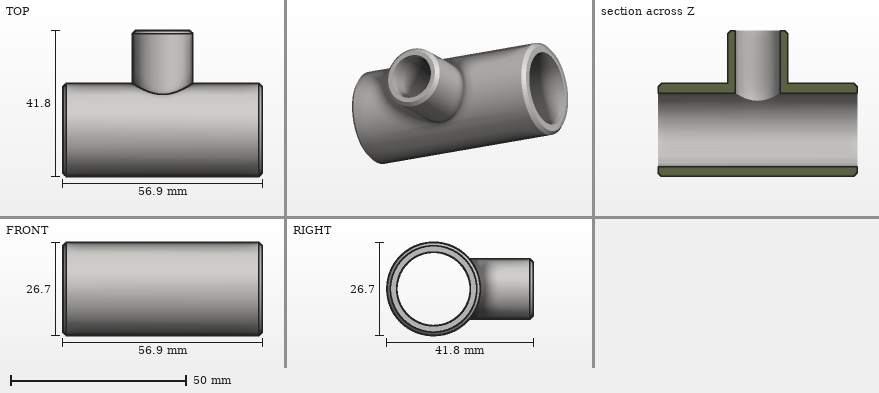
import cadquery as cq

run_length = 56.9
run_diameter = 26.67
run_wall = 2.87
branch_diameter = 17.3
branch_wall = 2.31
branch_reach = run_length / 2
end_chamfer = 1.0

run_bore = run_diameter - 2 * run_wall
branch_bore = branch_diameter - 2 * branch_wall


def run_cylinder(diameter):
    """Cylinder along X, centred on the origin, over the full run length."""
    return cq.Workplane("YZ").circle(diameter / 2).extrude(run_length / 2, both=True)


def branch_cylinder(diameter):
    """Cylinder along +Y from the run axis to the branch end face."""
    return cq.Workplane("XZ").circle(diameter / 2).extrude(-branch_reach)


run = run_cylinder(run_diameter).faces("<X or >X").chamfer(end_chamfer)
branch = branch_cylinder(branch_diameter).faces(">Y").chamfer(end_chamfer)
body = run.union(branch)

result = body.cut(run_cylinder(run_bore)).cut(branch_cylinder(branch_bore))